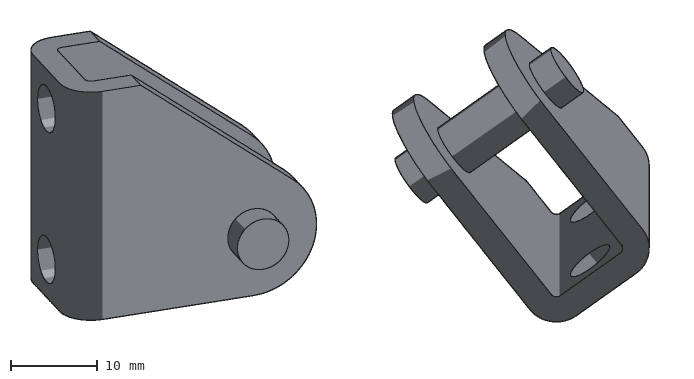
import cadquery as cq
import math

depth = 30.18
height = 28.8
bracket_width = 16.25
wall = 3.08
outer_bend_radius = 3.83
inner_bend_radius = outer_bend_radius - wall
top_edge_depth = 8.5

nose_radius = 7.8
pin_y = depth - nose_radius
pin_z = nose_radius

pin_diameter = 6.35
pin_length = 22.4

mount_hole_diameter = 5.65
lower_hole_z = 4.8
upper_hole_z = height - 4.98


def make_channel():
    """U-shaped channel with bent corners, extruded along Z."""
    outer = (
        cq.Workplane("XY")
        .rect(bracket_width, 2 * depth)
        .extrude(height)
        .edges("|Z and <Y")
        .fillet(outer_bend_radius)
        .translate((0, depth, 0))
    )
    inner = (
        cq.Workplane("XY")
        .rect(bracket_width - 2 * wall, 2 * depth)
        .extrude(height)
        .edges("|Z and <Y")
        .fillet(inner_bend_radius)
        .translate((0, depth + wall, 0))
    )
    return outer.cut(inner)


def make_side_profile():
    """Cheek outline: a sloped top edge tangent to the rounded nose."""
    corner_dy = top_edge_depth - pin_y
    corner_dz = height - pin_z
    corner_distance = math.hypot(corner_dy, corner_dz)
    tangent_angle = math.atan2(corner_dz, corner_dy) - math.acos(nose_radius / corner_distance)
    tangent_point = (
        pin_y + nose_radius * math.cos(tangent_angle),
        pin_z + nose_radius * math.sin(tangent_angle),
    )
    return (
        cq.Workplane("YZ", origin=(-bracket_width / 2, 0, 0))
        .lineTo(pin_y, 0)
        .threePointArc((depth, pin_z), tangent_point)
        .lineTo(top_edge_depth, height)
        .lineTo(0, height)
        .close()
        .extrude(bracket_width)
    )


def make_pin():
    """Plain pin along X, centred on the bracket."""
    return (
        cq.Workplane("YZ", origin=(-pin_length / 2, 0, 0))
        .center(pin_y, pin_z)
        .circle(pin_diameter / 2)
        .extrude(pin_length)
    )


def make_mount_holes():
    """Cutters for the two holes through the web."""
    return (
        cq.Workplane("XZ")
        .pushPoints([(0, lower_hole_z), (0, upper_hole_z)])
        .circle(mount_hole_diameter / 2)
        .extrude(-2 * wall)
    )


pin = make_pin()
bracket = make_channel().intersect(make_side_profile()).cut(make_mount_holes()).cut(pin)

result = cq.Compound.makeCompound([bracket.solids().val(), pin.solids().val()])